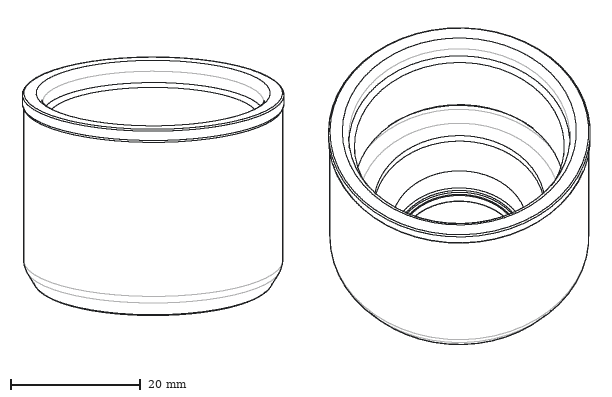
import cadquery as cq
import math

height = 30.5
rim_radius = 40.4 / 2
body_radius = 40 / 2

rim_band_height = 1.75
rim_top_chamfer = 0.25
rim_taper_height = 0.35

taper_angle = math.radians(30)
taper_top_z = 2.5
nose_blend_radius = 2.3
nose_chamfer_height = 0.25
nose_chamfer_width = 0.35

mouth_radius = 36.1 / 2
lead_in_radius = 34.15 / 2
lead_in_depth = 1.45
mouth_step_depth = 3.27
mouth_step_taper = 0.53

cavity_radius = 32.35 / 2
undercut_radius = 34.25 / 2
undercut_start_depth = 14.6
undercut_taper = 1.45
floor_depth = 18.6
floor_fillet = 1.55

seat_radius = 26.42 / 2
seat_depth = 1.4
bore_radius = 21 / 2
bore_top_z = 6.45
lip_radius = 19 / 2
lip_top_z = 1.6
lip_chamfer = 0.12
step_radius = 20.05 / 2
step_height = 0.5


def arc_middle(center_r, center_z, radius, start_angle, end_angle):
    """Midpoint of an arc in the radius-height half plane."""
    angle = (start_angle + end_angle) / 2
    return (center_r + radius * math.cos(angle), center_z + radius * math.sin(angle))


blend_center_r = body_radius - nose_blend_radius
blend_top_z = taper_top_z + nose_blend_radius * math.sin(taper_angle)
taper_top_radius = blend_center_r + nose_blend_radius * math.cos(taper_angle)
nose_radius = taper_top_radius - (taper_top_z - nose_chamfer_height) * math.tan(taper_angle)
blend_middle = arc_middle(blend_center_r, blend_top_z, nose_blend_radius, -taper_angle, 0)


def outer_body():
    """Solid of revolution bounded by the rim, body and tapered nose."""
    return (
        cq.Workplane("XZ")
        .moveTo(0, 0)
        .lineTo(nose_radius - nose_chamfer_width, 0)
        .lineTo(nose_radius, nose_chamfer_height)
        .lineTo(taper_top_radius, taper_top_z)
        .threePointArc(blend_middle, (body_radius, blend_top_z))
        .lineTo(body_radius, height - rim_band_height - rim_taper_height)
        .lineTo(rim_radius, height - rim_band_height)
        .lineTo(rim_radius, height - rim_top_chamfer)
        .lineTo(rim_radius - rim_top_chamfer, height)
        .lineTo(0, height)
        .close()
        .revolve(360, (0, 0, 0), (0, 1, 0))
    )


def cavity():
    """Stepped opening from the mouth through the floor to the lower lip."""
    floor_z = height - floor_depth
    fillet_r = undercut_radius - floor_fillet
    fillet_z = floor_z + floor_fillet
    fillet_middle = arc_middle(fillet_r, fillet_z, floor_fillet, -math.pi / 2, 0)
    lead_in_end = (lead_in_radius, height - lead_in_depth)
    lead_in_width = mouth_radius - lead_in_radius
    lead_in_arc = (lead_in_width**2 + lead_in_depth**2) / (2 * lead_in_width)
    lead_in_sweep = math.asin(lead_in_depth / lead_in_arc)
    lead_in_middle = arc_middle(
        lead_in_radius + lead_in_arc, lead_in_end[1], lead_in_arc, math.pi - lead_in_sweep, math.pi
    )
    return (
        cq.Workplane("XZ")
        .moveTo(0, 0)
        .lineTo(lip_radius, 0)
        .lineTo(lip_radius, lip_top_z - lip_chamfer)
        .lineTo(lip_radius + lip_chamfer, lip_top_z)
        .lineTo(step_radius, lip_top_z)
        .lineTo(step_radius, lip_top_z + step_height)
        .lineTo(bore_radius, lip_top_z + step_height)
        .lineTo(bore_radius, bore_top_z)
        .lineTo(seat_radius, floor_z - seat_depth)
        .lineTo(seat_radius, floor_z)
        .lineTo(fillet_r, floor_z)
        .threePointArc(fillet_middle, (undercut_radius, fillet_z))
        .lineTo(undercut_radius, height - undercut_start_depth - undercut_taper)
        .lineTo(cavity_radius, height - undercut_start_depth)
        .lineTo(cavity_radius, height - mouth_step_depth - mouth_step_taper)
        .lineTo(lead_in_radius, height - mouth_step_depth)
        .lineTo(*lead_in_end)
        .threePointArc(lead_in_middle, (mouth_radius, height))
        .lineTo(0, height)
        .close()
        .revolve(360, (0, 0, 0), (0, 1, 0))
    )


result = outer_body().cut(cavity())